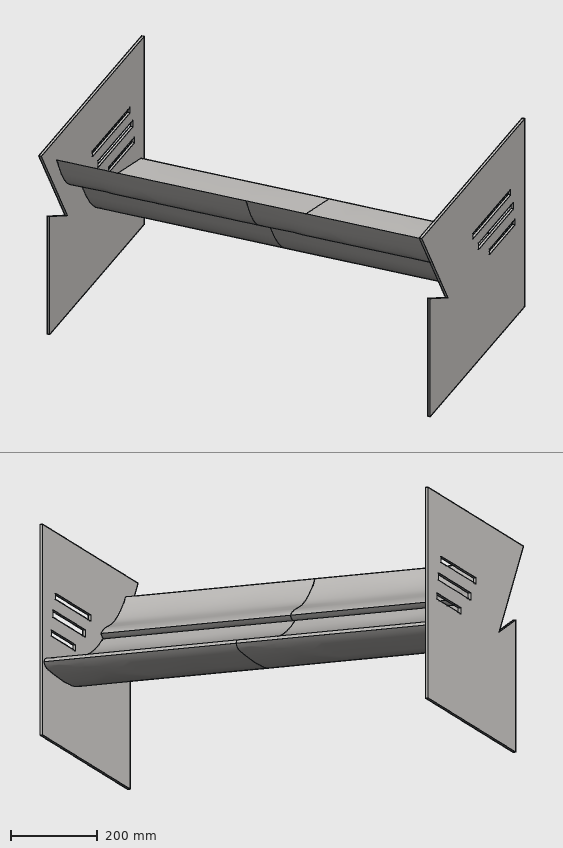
import cadquery as cq

LENGTH = 960.0
DEPTH = 600.0
HEIGHT = 500.0

PLATE_THICKNESS = 7.0
FOOT_DEPTH = 551.0
NOTCH_SETBACK = 447.0
NOTCH_DROP = 239.0
FOOT_CORNER_DROP = 186.0
SLOTS = [
    (83.0, 145.0, 220.0, 14.0),
    (66.0, 188.0, 203.0, 17.0),
    (57.0, 238.0, 150.0, 14.0),
]

INNER_FACE = LENGTH / 2 - PLATE_THICKNESS
MAIN_SEAM_X = -2.0
FLAP_SEAM_X = 5.0
FLAP_END_GAP = 4.0

MAIN_NOSE = (9.0, 324.0)
MAIN_TIP = (377.0, 184.0)
MAIN_UPPER = [(13.0, 318.0), (31.0, 311.0), (125.0, 289.0), (228.0, 263.0), (312.0, 229.0)]
MAIN_LOWER = [(13.0, 330.0), (40.0, 338.0), (144.0, 343.0), (230.0, 331.0), (293.0, 297.0), (341.0, 242.0)]
FLAP_NOSE = (367.0, 174.0)
FLAP_TIP = (520.0, 51.0)
FLAP_UPPER = [(372.0, 168.0), (432.0, 136.0), (480.0, 100.0)]
FLAP_LOWER = [(372.0, 180.0), (413.0, 174.0), (456.0, 148.0), (494.0, 100.0)]


def place(setback, drop):
    """Return (y, z) of a point given from the rear and top edges of the plates."""
    return (DEPTH / 2 - setback, HEIGHT / 2 - drop)


def make_end_plate(start_x):
    """Notched plate with three louvre slots cut through it."""
    corners = [
        (0, 0),
        (DEPTH, 0),
        (NOTCH_SETBACK, NOTCH_DROP),
        (FOOT_DEPTH, FOOT_CORNER_DROP),
        (FOOT_DEPTH, HEIGHT),
        (0, HEIGHT),
    ]
    outline = [place(*corner) for corner in corners]
    side = cq.Workplane("YZ", origin=(start_x, 0, 0))
    plate = side.polyline(outline).close().extrude(PLATE_THICKNESS)
    for setback, drop, length, height in SLOTS:
        middle = place(setback + length / 2, drop + height / 2)
        slot = side.center(*middle).rect(length, height).extrude(PLATE_THICKNESS)
        plate = plate.cut(slot)
    return plate.val()


def make_aerofoil(nose, tip, upper, lower, start_x, end_x):
    """Extrude a section whose two surfaces meet at the nose and at the sharp tip."""
    tip_point = place(*tip)
    upper_points = [place(*point) for point in upper]
    lower_points = [place(*point) for point in reversed(lower)]
    section = (
        cq.Workplane("YZ", origin=(start_x, 0, 0))
        .moveTo(*place(*nose))
        .spline([*upper_points, tip_point], includeCurrent=True)
        .spline([*lower_points, place(*nose)], includeCurrent=True)
        .close()
    )
    return section.extrude(end_x - start_x).val()


def make_main_wing_half(start_x, end_x):
    """One half of the large lower aerofoil."""
    return make_aerofoil(MAIN_NOSE, MAIN_TIP, MAIN_UPPER, MAIN_LOWER, start_x, end_x)


def make_flap_half(start_x, end_x):
    """One half of the small upper aerofoil."""
    return make_aerofoil(FLAP_NOSE, FLAP_TIP, FLAP_UPPER, FLAP_LOWER, start_x, end_x)


end_plates = [make_end_plate(x) for x in (-LENGTH / 2, INNER_FACE)]

main_spans = [(-INNER_FACE, MAIN_SEAM_X), (MAIN_SEAM_X, INNER_FACE)]
main_wing_halves = [make_main_wing_half(*span) for span in main_spans]

flap_spans = [(-INNER_FACE + FLAP_END_GAP, FLAP_SEAM_X), (FLAP_SEAM_X, INNER_FACE)]
flap_halves = [make_flap_half(*span) for span in flap_spans]

result = cq.Compound.makeCompound([*end_plates, *main_wing_halves, *flap_halves])